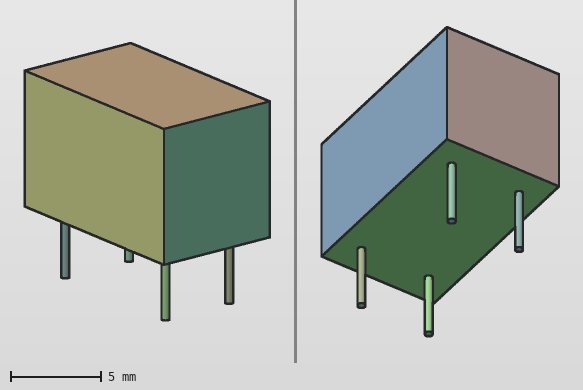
import cadquery as cq

housing_length = 12.5
housing_width = 7.5
housing_height = 8.0

pin_diameter = 0.45
pin_length = 4.0
pin_pitch_x = 9.0
pin_pitch_y = 4.5


def make_housing():
    """Plain rectangular block, centred in X and Y."""
    return cq.Workplane("XY").box(
        housing_length, housing_width, housing_height, centered=(True, True, False)
    )


def make_pin(x, y):
    """Straight pin hanging from the underside of the housing."""
    return cq.Workplane("XY").center(x, y).circle(pin_diameter / 2).extrude(-pin_length)


housing = make_housing()

pins = []
for x in (-pin_pitch_x / 2, pin_pitch_x / 2):
    for y in (-pin_pitch_y / 2, pin_pitch_y / 2):
        pins.append(make_pin(x, y).val())

result = cq.Compound.makeCompound([housing.val(), *pins])